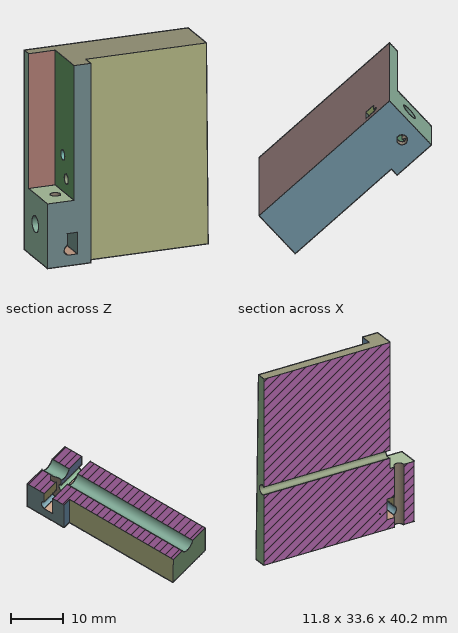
import cadquery as cq

width = 11.82
depth = 33.6
height = 40.19

wall_thickness = 2.3
foot_depth = 5.42
foot_height = 13.05

rear_start = 8.85
rear_top_width = 9.3
rear_bottom_width = 10.2

small_hole_diameter = 2.0
large_hole_diameter = 3.29
small_hole_centers_xz = [(6.13, 20.35), (7.87, 16.05)]
large_hole_center_xz = (5.6, 6.95)
foot_hole_center_xy = (7.28, 3.43)

slot_width = 2.0
slot_height = 4.35
slot_front = 4.1
slot_floor = 2.18
lobe_radius = 1.0
lobe_center_y = 4.4


def make_block():
    return cq.Workplane("XY").box(width, depth, height, centered=False)


def front_rebate():
    return (
        cq.Workplane("XY")
        .box(width - wall_thickness, foot_depth, height - foot_height, centered=False)
        .translate((wall_thickness, 0, foot_height))
    )


def rear_relief():
    """Wedge-faced cutter that tapers the rear of the +X side."""
    outline = [
        (rear_bottom_width, 0),
        (width, 0),
        (width, height),
        (rear_top_width, height),
    ]
    return (
        cq.Workplane("XZ", origin=(0, depth, 0))
        .polyline(outline)
        .close()
        .extrude(depth - rear_start)
    )


def lengthwise_hole(center_xz, diameter):
    """Hole running through the whole part along Y."""
    return (
        cq.Workplane("XZ", origin=(0, depth, 0))
        .center(*center_xz)
        .circle(diameter / 2)
        .extrude(depth)
    )


def foot_hole():
    """Vertical hole through the foot."""
    return (
        cq.Workplane("XY")
        .center(*foot_hole_center_xy)
        .circle(small_hole_diameter / 2)
        .extrude(foot_height)
    )


def side_opening():
    """Keyhole-shaped opening running through the whole part along X."""
    slot = (
        cq.Workplane("YZ")
        .center(slot_front + slot_width / 2, slot_floor + slot_height / 2)
        .rect(slot_width, slot_height)
        .extrude(width)
    )
    lobe = (
        cq.Workplane("YZ")
        .center(lobe_center_y, slot_floor + lobe_radius)
        .circle(lobe_radius)
        .extrude(width)
    )
    return slot.union(lobe)


result = make_block().cut(front_rebate()).cut(rear_relief())
for center in small_hole_centers_xz:
    result = result.cut(lengthwise_hole(center, small_hole_diameter))
result = result.cut(lengthwise_hole(large_hole_center_xz, large_hole_diameter))
result = result.cut(foot_hole())
result = result.cut(side_opening())